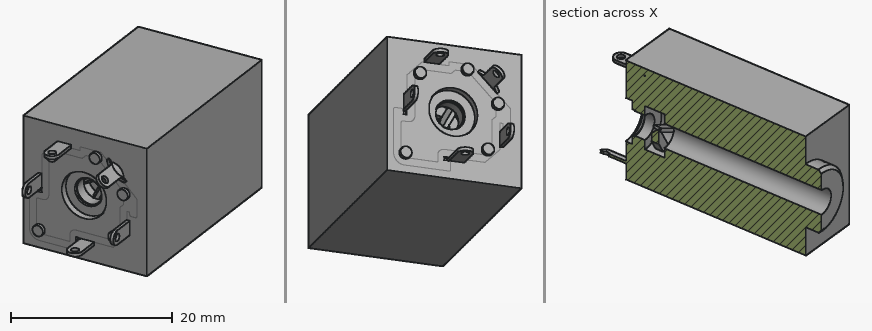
import cadquery as cq
import math


BLOCK_SIDE = 17.74
BLOCK_LENGTH = 28.0
BLOCK_CENTER = (0.14, -0.04)
NOSE_LENGTH = 2.45
NOSE_DIAMETER = 9.45
NOSE_CHAMFER = 0.45

BORE_DIAMETER = 3.6
MOUTH_DIAMETER = 3.84
MOUTH_DEPTH = 0.4
RECESS_DIAMETER = 6.4
RECESS_DEPTH = 1.0

HOUSING_DEPTH = 2.0
WALL = 1.0
FLAT = 6.1
CUT_SUM = 10.25
FOOT = 7.9
FOOT_STEP = 0.42
TOP_LIP = 6.63
LIP_STEP = 0.6
SLANT_SUM = 9.0
HOOK_REACH = 7.54
HOOK_END = -1.17
HOOK_INNER = 6.5
COVER_LIP = TOP_LIP - WALL
COVER_JOG = 0.3
NECK_SHIFT = 1.65
FOOT_ROUND = 1.45
NECK_ROUND = 0.85
EDGE_ROUND = 0.25
SMALL_ROUND = 0.1

PIN_DIAMETER = 1.5
PIN_HEIGHT = 0.5
PIN_INNER = 4.47
PIN_LIP = (1.79, 5.8)
PIN_FOOT = 6.37

TAB_WIDTH = 2.0
TAB_THICKNESS = 0.45
TAB_LENGTH = 4.0
TAB_HOLE_DIAMETER = 1.0
TAB_EMBED = 1.0
TAB_SHIFT_FAR = 2.82
TAB_SHIFT_NEAR = 0.46
SLOT_EXTRA = 0.64
SLOT_DEPTH = 0.5
SLANT_TAB_LENGTH = 4.1
SHOULDER_WIDTH = 3.6
SHOULDER_HEIGHT = 0.5
DOME_RADIUS = 2.08
DOME_INSET = 1.2

CHAMBER_START = 3.0
CHAMBER_LENGTH = 3.0
CHAMBER_DIAMETER = RECESS_DIAMETER
SPRING_START = 4.0
SPRING_HEIGHT = 1.2
SPRING_EMBED = 0.3
LONG_SPRING_ANGLE = 61.5
LONG_SPRING_FLAT = 0.6
LONG_SPRING_SLOPE = 0.55
LONG_SPRING_OFFSET = -0.3
SHORT_SPRING_ANGLE = 28.0
SHORT_SPRING_FLAT = 0.26
SHORT_SPRING_SLOPE = 0.26
SHORT_SPRING_OFFSET = 0.4


def cylinder(diameter, y_start, y_end, x=0.0, z=0.0):
    """Cylinder along Y between two Y positions."""
    base = cq.Workplane("XZ", origin=(0, y_start, 0)).center(x, z)
    return base.circle(diameter / 2).extrude(y_start - y_end)


def rounded_prism(corners, depth):
    """Prism from Y = 0 into the block; each corner is (x, z, rounding radius)."""
    sketch = None
    count = len(corners)
    for i, (x, z, radius) in enumerate(corners):
        corner = cq.Vector(x, z)
        before = (cq.Vector(*corners[i - 1][:2]) - corner).normalized()
        after = (cq.Vector(*corners[(i + 1) % count][:2]) - corner).normalized()
        half_angle = before.getAngle(after) / 2
        setback = radius / math.tan(half_angle)
        start = corner + before * setback
        if sketch is None:
            sketch = cq.Workplane("XZ").moveTo(start.x, start.y)
        else:
            sketch = sketch.lineTo(start.x, start.y)
        if radius > 0:
            end = corner + after * setback
            bisector = (before + after).normalized()
            middle = corner + bisector * (radius / math.sin(half_angle) - radius)
            sketch = sketch.threePointArc((middle.x, middle.y), (end.x, end.y))
    return sketch.close().extrude(-depth)


def block_with_nose():
    x, z = BLOCK_CENTER
    block = cq.Workplane("XY").box(BLOCK_SIDE, BLOCK_LENGTH, BLOCK_SIDE)
    block = block.translate((x, BLOCK_LENGTH / 2, z))
    nose = cylinder(NOSE_DIAMETER, BLOCK_LENGTH, BLOCK_LENGTH + NOSE_LENGTH)
    return block.union(nose.faces(">Y").chamfer(NOSE_CHAMFER))


def housing():
    cut = CUT_SUM - FLAT
    return rounded_prism([
        (-LIP_STEP, TOP_LIP, SMALL_ROUND),
        (SLANT_SUM - TOP_LIP, TOP_LIP, 0),
        (HOOK_REACH, SLANT_SUM - HOOK_REACH, 0),
        (HOOK_REACH, HOOK_END, EDGE_ROUND),
        (HOOK_INNER, HOOK_END, EDGE_ROUND),
        (HOOK_INNER, -LIP_STEP, 0),
        (FLAT, -LIP_STEP, 0),
        (FLAT, -cut, 0),
        (cut, -FLAT, 0),
        (-FOOT_STEP, -FLAT, 0),
        (-FOOT_STEP, -FOOT, SMALL_ROUND),
        (-FOOT, -FOOT, FOOT_ROUND),
        (-FOOT, -FOOT_STEP, EDGE_ROUND),
        (-FLAT, -FOOT_STEP, 0),
        (-FLAT, cut, 0),
        (-cut, FLAT, 0),
        (-LIP_STEP, FLAT, 0),
    ], HOUSING_DEPTH)


def cover():
    side = FLAT - WALL
    foot = FOOT - WALL
    cut = CUT_SUM - WALL * math.sqrt(2) - side
    slant = SLANT_SUM - WALL * math.sqrt(2)
    neck = FOOT_STEP + NECK_SHIFT
    step = COVER_LIP - side
    return rounded_prism([
        (step - COVER_JOG, COVER_LIP, 0),
        (slant - COVER_LIP, COVER_LIP, 0),
        (COVER_LIP, slant - COVER_LIP, 0),
        (COVER_LIP, step - COVER_JOG, 0),
        (side, -COVER_JOG, 0),
        (side, -cut, 0),
        (cut, -side, 0),
        (-neck, -side, NECK_ROUND),
        (-neck, -foot, SMALL_ROUND),
        (-foot, -foot, 0),
        (-foot, -neck, EDGE_ROUND),
        (-side, -neck, NECK_ROUND),
        (-side, cut, 0),
        (-cut, side, 0),
        (-COVER_JOG, side, 0),
    ], HOUSING_DEPTH)


def pins():
    lip_x, lip_z = PIN_LIP
    places = [
        (-PIN_INNER, PIN_INNER),
        (PIN_INNER, -PIN_INNER),
        (lip_x, lip_z),
        (lip_z, lip_x),
        (-PIN_FOOT, -PIN_FOOT),
    ]
    return [cylinder(PIN_DIAMETER, -PIN_HEIGHT, HOUSING_DEPTH, x, z) for x, z in places]


def placed_on_side(shape, distance, angle):
    """Move a shape drawn on the Z = 0 plane out to a housing side facing `angle` from +Z."""
    return shape.translate((0, 0, distance)).rotate((0, 0, 0), (0, 1, 0), angle)


def terminal(shift, length):
    """Round-ended terminal lying on Z = 0, pointing to -Y."""
    half = TAB_WIDTH / 2
    hole_y = half - length
    strip = (
        cq.Workplane("XY")
        .moveTo(shift - half, TAB_EMBED)
        .lineTo(shift - half, hole_y)
        .threePointArc((shift, -length), (shift + half, hole_y))
        .lineTo(shift + half, TAB_EMBED)
        .close()
        .extrude(TAB_THICKNESS)
    )
    hole = cq.Workplane("XY").center(shift, hole_y).circle(TAB_HOLE_DIAMETER / 2)
    return strip.cut(hole.extrude(TAB_THICKNESS))


def slanted_terminal():
    """Terminal with sloping shoulders and a dome on its outer face."""
    half = TAB_WIDTH / 2
    half_shoulder = SHOULDER_WIDTH / 2
    shoulders = (
        cq.Workplane("XY")
        .polyline([
            (-half_shoulder, TAB_EMBED),
            (-half_shoulder, 0),
            (-half, -SHOULDER_HEIGHT),
            (half, -SHOULDER_HEIGHT),
            (half_shoulder, 0),
            (half_shoulder, TAB_EMBED),
        ])
        .close()
        .extrude(TAB_THICKNESS)
    )
    dome_center = (0, DOME_INSET, TAB_THICKNESS - DOME_INSET)
    dome = cq.Workplane("XY").sphere(DOME_RADIUS).translate(dome_center)
    beyond_face = cq.Workplane("XY").box(
        2 * DOME_RADIUS, 4 * DOME_RADIUS, DOME_RADIUS, centered=(True, True, False)
    )
    return terminal(0, SLANT_TAB_LENGTH).union(shoulders).union(dome.intersect(beyond_face))


def terminals():
    slant_distance = SLANT_SUM / math.sqrt(2)
    return [
        placed_on_side(terminal(-TAB_SHIFT_FAR, TAB_LENGTH), FLAT, 0),
        placed_on_side(slanted_terminal(), slant_distance, 45),
        placed_on_side(terminal(TAB_SHIFT_FAR, TAB_LENGTH), FLAT, 90),
        placed_on_side(terminal(-TAB_SHIFT_NEAR, TAB_LENGTH), FLAT, 180),
        placed_on_side(terminal(TAB_SHIFT_NEAR, TAB_LENGTH), FLAT, 270),
    ]


def clearance_slots():
    """Pockets beside the bottom and left terminals, on the side toward the foot."""
    slot = cq.Workplane("XY").box(SLOT_EXTRA, SLOT_DEPTH, TAB_THICKNESS, centered=False)
    edge = TAB_WIDTH / 2 - TAB_SHIFT_NEAR
    return [
        placed_on_side(slot.translate((edge, 0, 0)), FLAT, 180),
        placed_on_side(slot.translate((-edge - SLOT_EXTRA, 0, 0)), FLAT, 270),
    ]


def bore():
    total = BLOCK_LENGTH + NOSE_LENGTH
    mouth = cylinder(MOUTH_DIAMETER, RECESS_DEPTH, RECESS_DEPTH + MOUTH_DEPTH)
    hole = cylinder(BORE_DIAMETER, 0, total)
    recess = cylinder(RECESS_DIAMETER, 0, RECESS_DEPTH)
    chamber = cylinder(CHAMBER_DIAMETER, CHAMBER_START, CHAMBER_START + CHAMBER_LENGTH)
    return hole.union(mouth).union(recess).union(chamber)


def spring(flat_top, ridge, slope_end, start, end, angle):
    """Bar across the chamber with one flat and one sloping face toward -Y.

    It runs along X from `start` to `end` and is then turned by `angle` toward +Z.
    The flat lies between `flat_top` and `ridge`, the slope between `ridge` and
    `slope_end`, all measured along Z before turning.
    """
    bar = (
        cq.Workplane("YZ", origin=(start, SPRING_START, 0))
        .polyline([
            (0, ridge),
            (0, flat_top),
            (SPRING_HEIGHT, flat_top),
            (SPRING_HEIGHT, slope_end),
        ])
        .close()
        .extrude(end - start)
    )
    return bar.rotate((0, 0, 0), (0, 1, 0), -angle)


def springs():
    reach = CHAMBER_DIAMETER / 2 + SPRING_EMBED
    long_spring = spring(
        LONG_SPRING_OFFSET - LONG_SPRING_FLAT,
        LONG_SPRING_OFFSET,
        LONG_SPRING_OFFSET + LONG_SPRING_SLOPE,
        -reach,
        reach,
        LONG_SPRING_ANGLE,
    )
    short_spring = spring(
        SHORT_SPRING_OFFSET + SHORT_SPRING_FLAT,
        SHORT_SPRING_OFFSET,
        SHORT_SPRING_OFFSET - SHORT_SPRING_SLOPE,
        -reach,
        0,
        SHORT_SPRING_ANGLE,
    )
    return [long_spring, short_spring]


result = block_with_nose()
for piece in [housing(), cover()] + pins() + terminals():
    result = result.union(piece, clean=False)
for hollow in clearance_slots() + [bore()]:
    result = result.cut(hollow, clean=False)
for piece in springs():
    result = result.union(piece, clean=False)